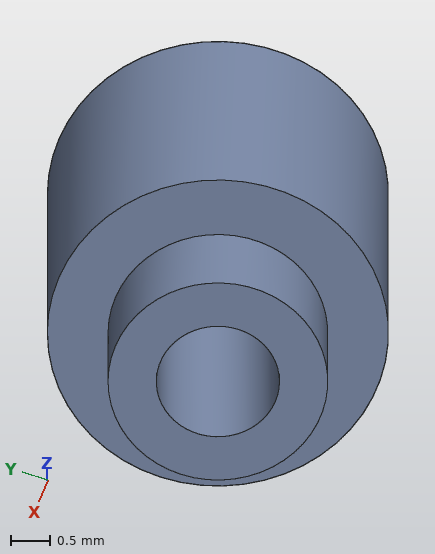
import cadquery as cq

total_height = 5.4
spigot_height = 1.4
body_diameter = 4.35
spigot_diameter = 2.8
bore_diameter = 1.57

body_height = total_height - spigot_height

spigot = cq.Workplane("XY").circle(spigot_diameter / 2).extrude(spigot_height)

stepped_bushing = spigot.faces(">Z").workplane().circle(body_diameter / 2).extrude(body_height)

result = stepped_bushing.faces(">Z").workplane().hole(bore_diameter)